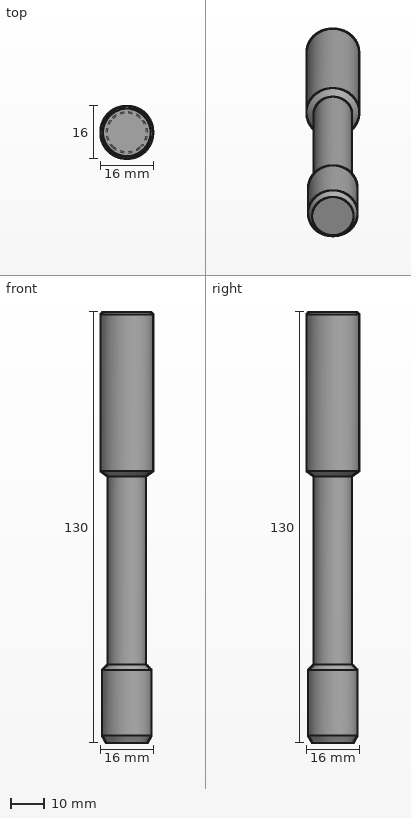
import cadquery as cq

total_length = 130.0

grip_diameter = 16.0
grip_length = 48.0
grip_top_chamfer = 0.8
grip_shoulder_height = 1.6

shank_diameter = 11.7

tip_diameter = 15.0
tip_length = 22.0
tip_bevel_height = 2.25
tip_bevel_width = 1.25

grip_radius = grip_diameter / 2
shank_radius = shank_diameter / 2
tip_radius = tip_diameter / 2
foot_height = tip_radius - shank_radius
shank_bottom = tip_length + foot_height
grip_bottom = total_length - grip_length
shank_top = grip_bottom - grip_shoulder_height


def turned(profile):
    """Solid turned about the Z axis from a closed (radius, height) profile."""
    return cq.Workplane("XZ").polyline(profile).close().revolve(360, (0, 0), (0, 1))


def build_handle():
    """Chamfered grip, slim shank and conical foot in one piece."""
    return turned([
        (0, tip_length),
        (tip_radius, tip_length),
        (shank_radius, shank_bottom),
        (shank_radius, shank_top),
        (grip_radius, grip_bottom),
        (grip_radius, total_length - grip_top_chamfer),
        (grip_radius - grip_top_chamfer, total_length),
        (0, total_length),
    ])


def build_tip():
    """Plug bevelled at its lower end, meeting the foot of the handle on a flat face."""
    return turned([
        (0, 0),
        (tip_radius - tip_bevel_width, 0),
        (tip_radius, tip_bevel_height),
        (tip_radius, tip_length),
        (0, tip_length),
    ])


handle = build_handle()
tip = build_tip()

result = cq.Compound.makeCompound([handle.val(), tip.val()])